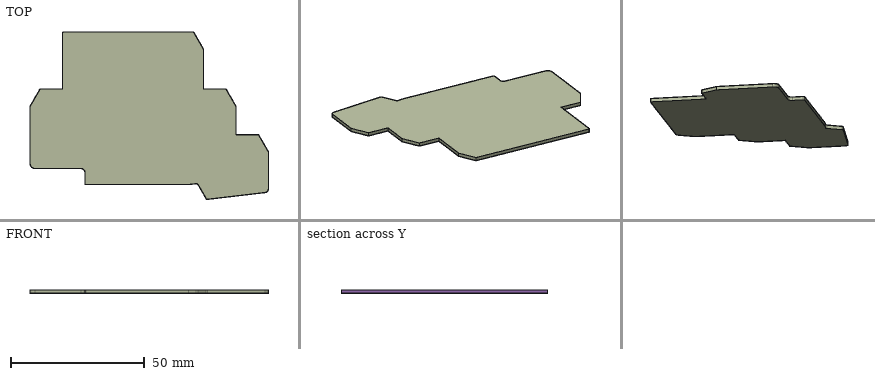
import cadquery as cq
import math

length = 89.3
depth = 62.7
thickness = 1.3

step_width = 12.15
tower_right = length - 2 * step_width
shoulder_y = 41.35
low_shoulder_y = 24.3
cut_width = 3.75
cut_height = cut_width * math.tan(math.radians(60))

left_bottom_y = 11.5
base_left = 20.5
base_y = 5.5
ramp_start_x = 59.4
ramp_end_x = 62.7
ramp_end_y = 5.9

toe_radius = 0.5
flank_angle = math.radians(60)
sole_angle = math.radians(6.7)

left_corner_radius = 2.0
inner_step_radius = 1.4
heel_radius = 1.4
ramp_radius = 0.7
small_radius = 0.45

toe_half_turn = (flank_angle + sole_angle) / 2
toe_tilt = (flank_angle - sole_angle) / 2
toe_y = toe_radius * (1 - math.cos(toe_tilt) / math.cos(toe_half_turn))
toe_x = ramp_end_x + (ramp_end_y - toe_y) / math.tan(flank_angle)
heel_y = toe_y + (length - toe_x) * math.tan(sole_angle)


def shoulder_cut(x, y):
    """Two ends of the cut on a right-hand corner, from top to side."""
    return [(x - cut_width, y), (x, y - cut_height)]


outline = [
    (0, left_bottom_y),
    (0, shoulder_y - cut_height),
    (cut_width, shoulder_y),
    (step_width, shoulder_y),
    (step_width, depth),
    *shoulder_cut(tower_right, depth),
    (tower_right, shoulder_y),
    *shoulder_cut(length - step_width, shoulder_y),
    (length - step_width, low_shoulder_y),
    *shoulder_cut(length, low_shoulder_y),
    (length, heel_y),
    (toe_x, toe_y),
    (ramp_end_x, ramp_end_y),
    (ramp_start_x, base_y),
    (base_left, base_y),
    (base_left, left_bottom_y),
]

rounded_corners = [
    ((0, left_bottom_y), left_corner_radius),
    ((step_width, depth), small_radius),
    ((length, heel_y), heel_radius),
    ((toe_x, toe_y), toe_radius),
    ((ramp_end_x, ramp_end_y), ramp_radius),
    ((base_left, base_y), small_radius),
    ((base_left, left_bottom_y), inner_step_radius),
]

result = cq.Workplane("XY").polyline(outline).close().extrude(thickness)
for (x, y), radius in rounded_corners:
    corner = cq.selectors.NearestToPointSelector((x, y, thickness / 2))
    result = result.edges("|Z").edges(corner).fillet(radius)